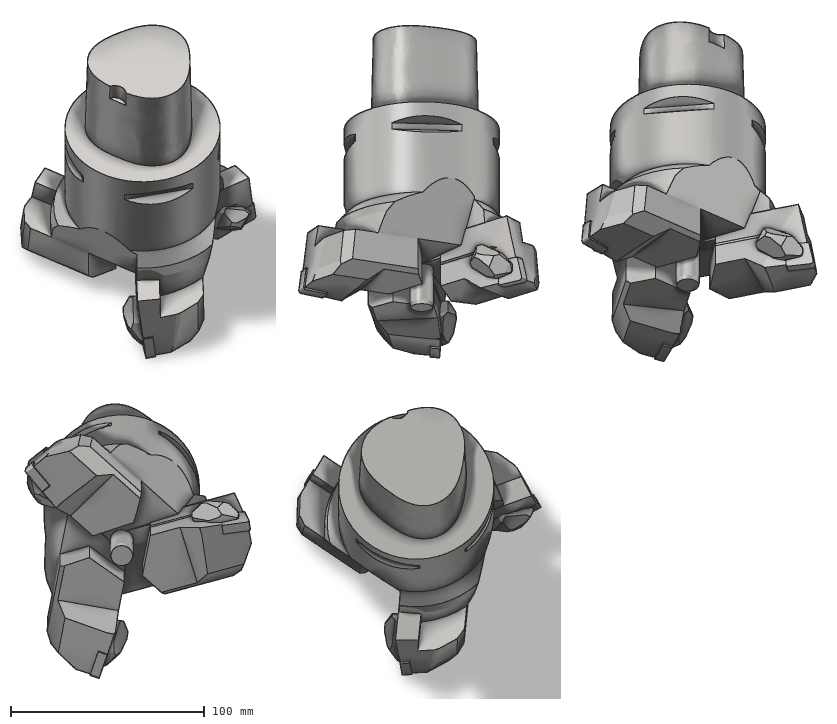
import cadquery as cq
import math


TOOTH_TURNS = (0.0, 123.5, 243.5)
BIG = 296.0

TOTAL_HEIGHT = 148.0
FLANGE_TOP = 100.3
SHANK_MEAN_RADIUS = 27.5
SHANK_LOBE = 2.0
SHANK_OUTLINE_POINTS = 36
SHANK_TOP_SCALE = 0.96
SHANK_NOTCH_DIAMETER = 12.0
SHANK_NOTCH_Y = -27.8
SHANK_NOTCH_DEPTH = 8.7

FLANGE_DIAMETER = 80.0
FLANGE_RADIUS = FLANGE_DIAMETER / 2
FLANGE_BOTTOM = 50.5
SHOULDER_RADIUS = 45.9
SHOULDER_Z = 43.8
BODY_RADIUS = 47.4
BODY_TOP = 38.3
BODY_BOTTOM = 24.0

GROOVE_Z = 88.2
GROOVE_LENGTH = 36.3
GROOVE_FLOOR_HEIGHT = 3.4
GROOVE_MOUTH_HEIGHT = 9.0
GROOVE_COUNT = 4
GROOVE_FIRST_TURN = 45.0
GROOVE_FLOOR_DISTANCE = math.sqrt(FLANGE_RADIUS**2 - (GROOVE_LENGTH / 2) ** 2)

PIN_DIAMETER = 12.0
PIN_BOTTOM = 2.0
PIN_CHAMFER_HEIGHT = 2.0
PIN_CHAMFER_WIDTH = 0.5

RAKE_Y = 4.7
BACK_Y = -29.7
TOOTH_TOP = 35.8
TOOTH_TOP_RADIUS = 61.9
TOOTH_REACH = 74.0
LEDGE_BACK_Y = -7.0
SHELF_Z = 27.4
SHELF_SLOPE = 7.5
BACK_CHAMFER_Z = 10.8
BACK_CHAMFER_ANGLE = 45.0
FLOOR_Z = 8.6
RAMP_TOP_RADIUS = 32.5
RAMP_BOTTOM_RADIUS = 42.9
RELIEF_Z = 1.2
RELIEF_SLOPE = 6.0
STEP_Z = 21.3
STEP_DEPTH = 0.5
STEP_HEIGHT = 1.0
INNER_CORNER_X = -6.5
INNER_CORNER_Y = -15.8
BACK_CORNER_X = -14.5
INNER_END_LEAN = 26.5

OUTER_FACES = [
    ((-TOOTH_TOP_RADIUS, RAKE_Y, TOOTH_TOP), 185.6, 10.0),
    ((-61.7, -15.4, 25.8), 200.0, 8.0),
    ((-61.3, -17.2, 25.8), 213.3, 5.0),
    ((-56.5, -27.0, 10.2), 214.2, -3.0),
    ((-54.9, -26.6, 27.0), 240.0, 3.0),
]

GULLET_LEAN = 17.8
GULLET_RAKE_Y = 4.5

FLAT_X = -46.2
FLAT_TOP = 42.5
FLAT_LEAN = 3.0
FLAT_HALF_WIDTH = 13.3

SEAT_FOLD_TOP = cq.Vector(-TOOTH_TOP_RADIUS, RAKE_Y, TOOTH_TOP)
SEAT_FOLD_BOTTOM = cq.Vector(-39.2, RAKE_Y, 2.2)
SEAT_TIP = cq.Vector(-68.4, 0.6, 0.5)
SEAT_NORMAL = (SEAT_FOLD_BOTTOM - SEAT_FOLD_TOP).cross(SEAT_TIP - SEAT_FOLD_TOP).normalized()

INSERT_WIDTH = 14.4
INSERT_HEIGHT = 12.7
INSERT_THICKNESS = 5.0
INSERT_TIP_X = -68.8
INSERT_LEAN = 10.0
INSERT_CORNER = 1.5

CLAMP_BASE_Y = 0.7
CLAMP_TILT = 30.0
CLAMP_SIDE_FILLET = 1.8
CLAMP_BEVEL = 45.0
CLAMP_UPPER_BEVEL = (-46.5, 6.5, 23.4)
CLAMP_LOWER_BEVEL = (-54.0, 5.9, 3.5)
CLAMP_OUTLINE = [
    (-39.2, 12.6), (-43.7, 21.9), (-46.5, 23.4), (-58.0, 16.3),
    (-63.6, 9.3), (-63.0, 5.0), (-54.0, 3.5), (-48.1, 5.6),
]
CLAMP_CREST = [
    (-7.4, 3.0), (0.0, 8.6), (4.5, 11.7), (8.1, 11.7),
    (15.2, 9.6), (22.2, 4.1), (29.6, -3.0),
]


def facing(azimuth, elevation):
    """Unit vector from its angle in XY, counted from +X, and its angle above XY."""
    around = math.radians(azimuth)
    up = math.radians(elevation)
    return cq.Vector(math.cos(around) * math.cos(up), math.sin(around) * math.cos(up), math.sin(up))


def beyond(point, outward):
    """Large block covering everything on the outward side of a plane."""
    return cq.Workplane(cq.Plane(origin=point, normal=outward)).rect(BIG, BIG).extrude(BIG)


def turned(shape, angle):
    return shape.rotate((0, 0, 0), (0, 0, 1), angle)


def prism_along_x(points):
    return cq.Workplane("YZ").polyline(points).close().extrude(BIG / 2, both=True)


def prism_along_y(points, y_low, y_high):
    section = cq.Workplane("XZ", origin=(0, y_high, 0)).polyline(points).close()
    return section.extrude(y_high - y_low)


def shank_outline(scale):
    """Points of the three-lobed outline, with one lobe toward +Y."""
    points = []
    for number in range(SHANK_OUTLINE_POINTS):
        angle = 2 * math.pi * number / SHANK_OUTLINE_POINTS
        radius = scale * (SHANK_MEAN_RADIUS - SHANK_LOBE * math.sin(3 * angle))
        points.append((radius * math.cos(angle), radius * math.sin(angle)))
    return points


def make_shank():
    shank = (
        cq.Workplane("XY", origin=(0, 0, FLANGE_TOP))
        .spline(shank_outline(1.0), periodic=True)
        .close()
        .workplane(offset=TOTAL_HEIGHT - FLANGE_TOP)
        .spline(shank_outline(SHANK_TOP_SCALE), periodic=True)
        .close()
        .loft()
    )
    notch = (
        cq.Workplane("XY", origin=(0, SHANK_NOTCH_Y, TOTAL_HEIGHT - SHANK_NOTCH_DEPTH))
        .circle(SHANK_NOTCH_DIAMETER / 2)
        .extrude(SHANK_NOTCH_DEPTH)
    )
    return shank.cut(notch)


def make_core():
    profile = [
        (0, BODY_BOTTOM), (BODY_RADIUS, BODY_BOTTOM), (BODY_RADIUS, BODY_TOP),
        (SHOULDER_RADIUS, SHOULDER_Z), (FLANGE_RADIUS, FLANGE_BOTTOM),
        (FLANGE_RADIUS, FLANGE_TOP), (0, FLANGE_TOP),
    ]
    return cq.Workplane("XZ").polyline(profile).close().revolve(360, (0, 0, 0), (0, 1, 0))


def make_gripper_groove():
    """Flared straight groove across the flange, facing -Y."""
    outer = BODY_RADIUS
    floor_half = GROOVE_FLOOR_HEIGHT / 2
    mouth_half = GROOVE_MOUTH_HEIGHT / 2
    flare = (mouth_half - floor_half) / (FLANGE_RADIUS - GROOVE_FLOOR_DISTANCE)
    outer_half = floor_half + flare * (outer - GROOVE_FLOOR_DISTANCE)
    return prism_along_x([
        (-GROOVE_FLOOR_DISTANCE, GROOVE_Z - floor_half),
        (-GROOVE_FLOOR_DISTANCE, GROOVE_Z + floor_half),
        (-outer, GROOVE_Z + outer_half),
        (-outer, GROOVE_Z - outer_half),
    ])


def make_gullet(turn, next_turn):
    """Chip space behind the tooth at one angle, up to the rake of the next tooth."""
    rise = TOTAL_HEIGHT / 2
    ceiling_run = (SHELF_Z - BODY_BOTTOM) / math.tan(math.radians(SHELF_SLOPE))
    lean_run = rise * math.tan(math.radians(GULLET_LEAN))
    space = prism_along_x([
        (BACK_Y, SHELF_Z), (BACK_Y - lean_run, SHELF_Z + rise), (-BIG, SHELF_Z + rise),
        (-BIG, 0), (BACK_Y + ceiling_run, 0), (BACK_Y + ceiling_run, BODY_BOTTOM),
    ])
    rake_direction = facing(90 + next_turn, 0)
    return turned(space, turn).intersect(beyond(rake_direction * GULLET_RAKE_Y, rake_direction))


def make_flat():
    """Block that planes a leaning flat on the body above a tooth."""
    limits = cq.Workplane("XY").rect(BIG, 2 * FLAT_HALF_WIDTH).extrude(SHOULDER_Z)
    return beyond((FLAT_X, 0, FLAT_TOP), facing(180, FLAT_LEAN)).intersect(limits)


def make_tooth():
    """Tooth pointing along -X with its rake facing +Y, before the insert pocket."""
    inner_run = (RAKE_Y - INNER_CORNER_Y) * math.tan(math.radians(INNER_END_LEAN))
    plan = [
        (-TOOTH_REACH, RAKE_Y), (INNER_CORNER_X - inner_run, RAKE_Y),
        (INNER_CORNER_X, INNER_CORNER_Y), (BACK_CORNER_X, BACK_Y), (-TOOTH_REACH, BACK_Y),
    ]
    tooth = cq.Workplane("XY").polyline(plan).close().extrude(TOOTH_TOP)
    shelf_drop = (LEDGE_BACK_Y - BACK_Y) * math.tan(math.radians(SHELF_SLOPE))
    above_shelf = prism_along_x([
        (BACK_Y, SHELF_Z), (LEDGE_BACK_Y, SHELF_Z - shelf_drop),
        (LEDGE_BACK_Y, BIG), (-BIG, BIG), (-BIG, SHELF_Z),
    ])
    tooth = tooth.cut(above_shelf)
    for point, azimuth, elevation in OUTER_FACES:
        tooth = tooth.cut(beyond(point, facing(azimuth, elevation)))
    tooth = tooth.cut(beyond((0, BACK_Y, BACK_CHAMFER_Z), facing(270, -BACK_CHAMFER_ANGLE)))
    tooth = tooth.cut(beyond((0, 0, RELIEF_Z), facing(270, RELIEF_SLOPE - 90)))
    under_ramp = prism_along_y([
        (-RAMP_BOTTOM_RADIUS, 0), (-RAMP_BOTTOM_RADIUS, RELIEF_Z),
        (-RAMP_TOP_RADIUS, FLOOR_Z), (0, FLOOR_Z), (0, 0),
    ], -BIG, BIG)
    tooth = tooth.cut(under_ramp)
    rake_step = prism_along_x([
        (RAKE_Y, STEP_Z), (RAKE_Y - STEP_DEPTH, STEP_Z - STEP_HEIGHT),
        (RAKE_Y - STEP_DEPTH, 0), (BIG, 0), (BIG, STEP_Z),
    ])
    return tooth.cut(rake_step).cut(beyond(SEAT_TIP, SEAT_NORMAL))


def make_insert():
    """Four-sided plate sunk into the sloped rake."""
    lean = INSERT_HEIGHT * math.tan(math.radians(INSERT_LEAN))
    outline = [
        (INSERT_TIP_X, 0), (INSERT_TIP_X + INSERT_WIDTH, 0),
        (INSERT_TIP_X + INSERT_WIDTH, INSERT_HEIGHT), (INSERT_TIP_X + lean, INSERT_HEIGHT),
    ]
    corners = []
    for x, z in outline:
        rise = (x - SEAT_TIP.x) * SEAT_NORMAL.x + (z - SEAT_TIP.z) * SEAT_NORMAL.z
        corners.append(cq.Vector(x, SEAT_TIP.y - rise / SEAT_NORMAL.y, z))
    face = cq.Face.makeFromWires(cq.Wire.makePolygon(corners, close=True))
    plate = cq.Solid.extrudeLinear(face, SEAT_NORMAL * -INSERT_THICKNESS)
    side_edges = cq.Workplane(plate).edges(cq.selectors.ParallelDirSelector(SEAT_NORMAL))
    return side_edges.edges(cq.selectors.NearestToPointSelector(corners[0])).fillet(INSERT_CORNER)


def make_clamp():
    """Claw that rises from the rake and slopes down onto the insert."""
    inner_x, inner_z = CLAMP_OUTLINE[0]
    crest_y = max(y for _, y in CLAMP_CREST)
    claw = prism_along_y(CLAMP_OUTLINE, CLAMP_BASE_Y, crest_y)
    claw = claw.edges("|Y").fillet(CLAMP_SIDE_FILLET)
    tilt = math.radians(CLAMP_TILT)
    along = cq.Vector(-math.cos(tilt), 0, -math.sin(tilt))
    across = cq.Vector(0, 1, 0).cross(along)
    side = cq.Plane(origin=(inner_x, 0, inner_z), xDir=along, normal=-across)
    under_crest = cq.Workplane(side).polyline(CLAMP_CREST).close().extrude(BIG / 2, both=True)
    claw = claw.intersect(under_crest)
    bevel = math.radians(CLAMP_BEVEL)
    for point, sideways in ((CLAMP_UPPER_BEVEL, across), (CLAMP_LOWER_BEVEL, -across)):
        outward = sideways * math.cos(bevel) + cq.Vector(0, math.sin(bevel), 0)
        claw = claw.cut(beyond(point, outward))
    return claw


def make_pin():
    return (
        cq.Workplane("XY", origin=(0, 0, PIN_BOTTOM))
        .circle(PIN_DIAMETER / 2)
        .extrude(BODY_BOTTOM - PIN_BOTTOM)
        .faces("<Z")
        .chamfer(PIN_CHAMFER_HEIGHT, PIN_CHAMFER_WIDTH)
    )


insert = make_insert()
tooth = make_tooth().cut(insert)
clamp = make_clamp().cut(tooth).cut(insert)

body = make_core()
for number, turn in enumerate(TOOTH_TURNS):
    next_turn = TOOTH_TURNS[(number + 1) % len(TOOTH_TURNS)]
    body = body.cut(make_gullet(turn, next_turn))
    body = body.cut(turned(make_flat(), turn))
for number in range(GROOVE_COUNT):
    body = body.cut(turned(make_gripper_groove(), GROOVE_FIRST_TURN + number * 360 / GROOVE_COUNT))
body = body.union(make_shank()).union(make_pin())
for turn in TOOTH_TURNS:
    body = body.union(turned(tooth, turn))

inserts = [turned(insert, turn).val() for turn in TOOTH_TURNS]
clamps = [turned(clamp, turn).val() for turn in TOOTH_TURNS]

result = cq.Compound.makeCompound([body.val(), *inserts, *clamps])